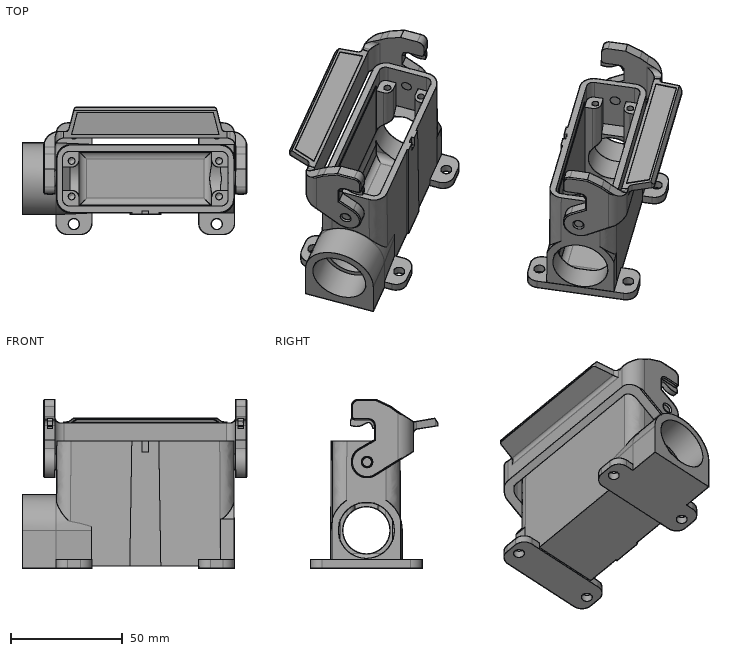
import cadquery as cq
import math


RIM_HALF_X = 39.6
RIM_HALF_Y = 15.1
RIM_CORNER_R = 6.3
RIM_Z = 57.0
SHELL_BOTTOM_Z = 1.0
SHELL_DRAFT = 0.3

ENTRY_OUTER_X = -55.0
ENTRY_STEP_X = -41.0
ENTRY_TAIL_X = -24.0
ENTRY_TAIL_TAPER = 2.6
ARCH_R = 16.1
ARCH_Z = 17.0
THREAD_D = 25.0
PASSAGE_D = 21.0
END_ARCH_INNER_X = 33.6

FOOT_OUTER_X = 40.0
FOOT_LENGTH = 16.2
FOOT_HALF_Y = 25.0
FOOT_THICK = 4.0
FOOT_CORNER_R = 5.2
FOOT_HOLE_D = 4.8
FOOT_HOLE_X = 32.0
FOOT_HOLE_Y = 20.3

RIB_TOP_WIDTH = 12.1
RIB_BOTTOM_WIDTH = 13.9
RIB_TOP_Y = -15.8
RIB_BOTTOM_Y = -16.1
NOTCH_WIDTH = 3.0
NOTCH_DEPTH = 5.0
NOTCH_BACK_Y = -14.5

MOUTH_HALF_X = 37.0
MOUTH_HALF_Y = 12.2
MOUTH_CORNER_R = 3.0
LEDGE_Z = 51.8
WELL_HALF_X = 29.6
WALL_PANEL_HALF_X = 29.0
WALL_PANEL_THICK = 0.4
FLOOR_Z = 3.3
FLOOR_FILLET = 3.4

POST_TOP_Z = 47.9
POST_CORNER_R = 3.4
POST_GAP = 10.4
POST_HOLE_D = 3.0
POST_HOLE_DEPTH = 12.1
POST_HOLE_X = 33.0
POST_HOLE_Y = 7.9
DRILL_POINT_ANGLE = 118.0
SLOT_INNER_X = 33.7
SLOT_SLOPE_Z = 29.1

HINGE_Y = 0.3
HINGE_Z = 47.5
HINGE_BOSS_D = 7.0
PIN_D = 4.6
PIN_DIMPLE_D = 5.1
PIN_DIMPLE_FLOOR_D = 4.0
PIN_DIMPLE_DEPTH = 0.7

ARM_OUTER_X = 45.5
ARM_INNER_X = 40.4
ARM_EYE_R = 7.0
ARM_EDGE_CHAMFER = 0.5
LEVER_TOP_Z = 75.6
NOSE_Y = -6.7
NOSE_R = 3.1
NOSE_LOWER_R = 1.5
JAW_Y = 3.5
JAW_TOP_Z = 66.4
JAW_BOTTOM_Z = 57.5
JAW_R = 2.6
BROW_LOW = (14.1, 70.1)
BROW_HIGH = (11.0, 72.5)
TOP_START_Y = 4.3
BACK_OUTER_Y = 21.1
BACK_INNER_Y = 18.2
BACK_BOTTOM_Z = 52.3
BACK_TOP_Z = 65.5
BACK_OUTER_R = 7.0
BACK_INNER_R = 4.1
BRIDGE_Z = 65.0
BRIDGE_DIP_R = 2.6

TAB_TIP_Y = 32.1
TAB_TIP_HALF_X = 31.7
TAB_ROOT_HALF_X = 34.5
TAB_TIP_R = 1.5
TAB_ROOT_R = 1.8
TAB_ROOT_MARGIN = 2.0
TAB_EDGE_Y = 30.6
TAB_EDGE_Z = 67.1
TAB_TIP_Z = 64.9
TAB_UNDER_TIP_Z = 63.7
TAB_UNDER_ROOT_Z = 62.0
PANEL_NEAR_Y = 19.7
PANEL_FAR_Y = 29.5
PANEL_NEAR_HALF_X = 33.0
PANEL_FAR_HALF_X = 30.5
PANEL_DEPTH = 0.3

CATCH_INNER_X = 41.4
CATCH_WIDTH = 2.4
CATCH_TOP_Z = 67.0
CATCH_TIP_Y = -7.1
CATCH_TIP_DROP = 0.5
CATCH_LIP_Z = 63.9
CATCH_LIP_LOW = (-4.7, 63.4)
CATCH_VALLEY = (-1.9, 63.9)
CATCH_CREST = (0.5, 65.1)
CATCH_HEEL = (2.9, 62.5)


def box(x0, x1, y0, y1, z0, z1):
    """Axis-aligned block between the given limits."""
    return cq.Workplane("XY").box(x1 - x0, y1 - y0, z1 - z0, centered=False).translate((x0, y0, z0))


def x_cylinder(diameter, x0, x1, y, z):
    """Round bar along X."""
    return cq.Workplane("YZ", origin=(x0, y, z)).circle(diameter / 2).extrude(x1 - x0)


def tangent_point(centre, radius, point, side):
    """Where the line from an outside point touches a circle; side +1 or -1 picks the line."""
    dy = point[0] - centre[0]
    dz = point[1] - centre[1]
    angle = math.atan2(dz, dy) + side * math.acos(radius / math.hypot(dy, dz))
    return centre[0] + radius * math.cos(angle), centre[1] + radius * math.sin(angle)




def drafted_block():
    """Sharp-cornered envelope of the shell, widening downwards."""
    height = RIM_Z - SHELL_BOTTOM_Z
    spread = height * math.tan(math.radians(SHELL_DRAFT))
    return (
        cq.Workplane("XY", origin=(0, 0, SHELL_BOTTOM_Z))
        .rect(2 * (RIM_HALF_X + spread), 2 * (RIM_HALF_Y + spread))
        .workplane(offset=height)
        .rect(2 * RIM_HALF_X, 2 * RIM_HALF_Y)
        .loft(ruled=True)
    )


def drafted_shell():
    """Solid outer body with its four upright corners rounded."""
    return drafted_block().edges("not (<Z or >Z)").fillet(RIM_CORNER_R)


def arch(x0, length, bottom_z, taper=0):
    """Round-topped block along X, concentric with the end openings."""
    return (
        cq.Workplane("YZ", origin=(x0, 0, 0))
        .moveTo(-ARCH_R, bottom_z)
        .lineTo(ARCH_R, bottom_z)
        .lineTo(ARCH_R, ARCH_Z)
        .threePointArc((0, ARCH_Z + ARCH_R), (-ARCH_R, ARCH_Z))
        .close()
        .extrude(length, taper=taper)
    )


def cable_entry():
    """Arched entry at the -X end, with a tail that narrows along the housing side."""
    entry = arch(ENTRY_OUTER_X, -FOOT_OUTER_X - ENTRY_OUTER_X, 0)
    tail = arch(-FOOT_OUTER_X, ENTRY_TAIL_X + FOOT_OUTER_X, 0, ENTRY_TAIL_TAPER)
    return entry.union(tail)


def far_end_arch():
    """Arched filling that squares off the lower corners at the +X end, flush with the side walls."""
    filling = arch(END_ARCH_INNER_X, FOOT_OUTER_X - END_ARCH_INNER_X, SHELL_BOTTOM_Z)
    return filling.intersect(drafted_block())


def feet():
    """Cross bars under both ends, each with a screw hole at either side."""
    bars = cq.Workplane("XY")
    for side in (-1, 1):
        bar = (
            cq.Workplane("XY", origin=(side * (FOOT_OUTER_X - FOOT_LENGTH / 2), 0, 0))
            .rect(FOOT_LENGTH, 2 * FOOT_HALF_Y)
            .extrude(FOOT_THICK)
            .edges("|Z")
            .fillet(FOOT_CORNER_R)
        )
        bars = bars.add(bar)
    holes = (
        cq.Workplane("XY")
        .rect(2 * FOOT_HOLE_X, 2 * FOOT_HOLE_Y, forConstruction=True)
        .vertices()
        .circle(FOOT_HOLE_D / 2)
        .extrude(FOOT_THICK)
    )
    return bars.combine().cut(holes)


def front_rib():
    """Shallow rib on the -Y side, wider and prouder at the bottom."""

    def section(width, face_y, z):
        outline = [(-width / 2, 0), (width / 2, 0), (width / 2, face_y), (-width / 2, face_y)]
        return cq.Wire.makePolygon([cq.Vector(x, y, z) for x, y in outline], close=True)

    bottom = section(RIB_BOTTOM_WIDTH, RIB_BOTTOM_Y, SHELL_BOTTOM_Z)
    top = section(RIB_TOP_WIDTH, RIB_TOP_Y, RIM_Z)
    return cq.Workplane(cq.Solid.makeLoft([bottom, top], True))


def cavity():
    """Mouth above the screw posts and central well, less a thin raised panel on each long wall."""
    mouth = (
        cq.Workplane("XY", origin=(0, 0, POST_TOP_Z))
        .rect(2 * MOUTH_HALF_X, 2 * MOUTH_HALF_Y)
        .extrude(RIM_Z - POST_TOP_Z)
        .edges("|Z")
        .fillet(MOUTH_CORNER_R)
    )
    well = box(-WELL_HALF_X, WELL_HALF_X, -MOUTH_HALF_Y, MOUTH_HALF_Y, FLOOR_Z, RIM_Z)
    space = mouth.union(well.edges("<Z").fillet(FLOOR_FILLET))
    for y0, y1 in ((-MOUTH_HALF_Y, WALL_PANEL_THICK - MOUTH_HALF_Y), (MOUTH_HALF_Y - WALL_PANEL_THICK, MOUTH_HALF_Y)):
        space = space.cut(box(-WALL_PANEL_HALF_X, WALL_PANEL_HALF_X, y0, y1, FLOOR_Z, LEDGE_Z))
    return space


def post_slot(side):
    """Slot between the two posts of one end; its outer wall slopes in just above the opening."""
    half_gap = POST_GAP / 2
    slope = MOUTH_HALF_X - SLOT_INNER_X
    slot = (
        cq.Workplane("XZ", origin=(0, half_gap, 0))
        .polyline(
            [
                (0, ARCH_Z),
                (SLOT_INNER_X, ARCH_Z),
                (SLOT_INNER_X, SLOT_SLOPE_Z),
                (MOUTH_HALF_X, SLOT_SLOPE_Z + slope),
                (MOUTH_HALF_X, POST_TOP_Z),
                (0, POST_TOP_Z),
            ]
        )
        .close()
        .extrude(POST_GAP)
    )
    flare_x = WELL_HALF_X + POST_CORNER_R
    flare_y = half_gap + POST_CORNER_R
    flare = box(WELL_HALF_X, flare_x, -flare_y, flare_y, ARCH_Z, POST_TOP_Z)
    for y_side in (-1, 1):
        round_corner = (
            cq.Workplane("XY", origin=(flare_x, y_side * flare_y, ARCH_Z))
            .circle(POST_CORNER_R)
            .extrude(POST_TOP_Z - ARCH_Z)
        )
        flare = flare.cut(round_corner)
    slot = slot.union(flare)
    return slot if side > 0 else slot.mirror("YZ")


def post_holes():
    """Blind drilled holes in the post tops, each ending in a drill point."""
    radius = POST_HOLE_D / 2
    point = radius / math.tan(math.radians(DRILL_POINT_ANGLE / 2))
    holes = cq.Workplane("XY")
    for x in (-POST_HOLE_X, POST_HOLE_X):
        for y in (-POST_HOLE_Y, POST_HOLE_Y):
            hole = (
                cq.Workplane("XZ")
                .polyline([(0, 0), (radius, 0), (radius, -POST_HOLE_DEPTH), (0, -POST_HOLE_DEPTH - point)])
                .close()
                .revolve(360, (0, 0), (0, 1))
                .translate((x, y, POST_TOP_Z))
            )
            holes = holes.add(hole)
    return holes.combine()


def make_housing():
    body = drafted_shell().union(front_rib()).union(cable_entry()).union(far_end_arch()).union(feet())
    for side in (-1, 1):
        body = body.union(x_cylinder(HINGE_BOSS_D, 0, side * ARM_INNER_X, HINGE_Y, HINGE_Z))
    body = body.cut(cavity()).cut(post_slot(-1)).cut(post_slot(1)).cut(post_holes())
    body = body.cut(x_cylinder(THREAD_D, ENTRY_OUTER_X, ENTRY_STEP_X, 0, ARCH_Z))
    body = body.cut(x_cylinder(PASSAGE_D, ENTRY_STEP_X, 0, 0, ARCH_Z))
    body = body.cut(x_cylinder(THREAD_D, 0, FOOT_OUTER_X, 0, ARCH_Z))
    body = body.cut(x_cylinder(PIN_D, -ARM_INNER_X, ARM_INNER_X, HINGE_Y, HINGE_Z))
    notch = box(-NOTCH_WIDTH / 2, NOTCH_WIDTH / 2, RIB_BOTTOM_Y, NOTCH_BACK_Y, RIM_Z - NOTCH_DEPTH, RIM_Z)
    return body.cut(notch)




def hooked_block():
    """Side outline of the arms over the full lever width, with both outer faces chamfered."""
    eye = (HINGE_Y, HINGE_Z)
    jaw_corner = (JAW_Y, JAW_BOTTOM_Z)
    back_corner = (BACK_OUTER_Y, BACK_BOTTOM_Z)
    eye_front = tangent_point(eye, ARM_EYE_R, jaw_corner, 1)
    eye_under = tangent_point(eye, ARM_EYE_R, back_corner, -1)
    eye_nose = (HINGE_Y - ARM_EYE_R * math.cos(math.pi / 4), HINGE_Z - ARM_EYE_R * math.sin(math.pi / 4))
    outline = (
        cq.Workplane("YZ", origin=(-ARM_OUTER_X, 0, 0))
        .moveTo(*jaw_corner)
        .lineTo(*eye_front)
        .threePointArc(eye_nose, eye_under)
        .lineTo(*back_corner)
        .lineTo(BACK_OUTER_Y, BACK_TOP_Z)
        .lineTo(*BROW_LOW)
        .lineTo(*BROW_HIGH)
        .lineTo(TOP_START_Y, LEVER_TOP_Z)
        .lineTo(NOSE_Y + NOSE_R, LEVER_TOP_Z)
        .radiusArc((NOSE_Y, LEVER_TOP_Z - NOSE_R), -NOSE_R)
        .lineTo(NOSE_Y, JAW_TOP_Z + NOSE_LOWER_R)
        .radiusArc((NOSE_Y + NOSE_LOWER_R, JAW_TOP_Z), -NOSE_LOWER_R)
        .lineTo(JAW_Y - JAW_R, JAW_TOP_Z)
        .radiusArc((JAW_Y, JAW_TOP_Z - JAW_R), JAW_R)
        .close()
        .extrude(2 * ARM_OUTER_X)
    )
    return outline.faces("<X or >X").chamfer(ARM_EDGE_CHAMFER)


def u_shaped_plan():
    """Plan outline of the lever: two arms joined by a back with rounded corners."""
    outer = box(-ARM_OUTER_X, ARM_OUTER_X, NOSE_Y, BACK_OUTER_Y, 0, LEVER_TOP_Z)
    outer = outer.edges("|Z and >Y").fillet(BACK_OUTER_R)
    inner = box(-ARM_INNER_X, ARM_INNER_X, NOSE_Y, BACK_INNER_Y, 0, LEVER_TOP_Z)
    inner = inner.edges("|Z and >Y").fillet(BACK_INNER_R)
    return outer.cut(inner)


def bridge_relief():
    """Space above the lever back, which lies lower than the arms and curves up into them."""
    relief = box(-ARM_INNER_X, ARM_INNER_X, 0, TAB_TIP_Y, BRIDGE_Z, LEVER_TOP_Z)
    return relief.edges("|Y and <Z").fillet(BRIDGE_DIP_R)


def handle_tab():
    """Sloping handle that narrows towards its tip, blended into the lever back."""
    side = (
        cq.Workplane("YZ", origin=(-ARM_OUTER_X, 0, 0))
        .polyline(
            [
                (BACK_INNER_Y, BRIDGE_Z),
                (TAB_EDGE_Y, TAB_EDGE_Z),
                (TAB_TIP_Y, TAB_TIP_Z),
                (TAB_TIP_Y, TAB_UNDER_TIP_Z),
                (BACK_OUTER_Y, TAB_UNDER_ROOT_Z),
                (BACK_OUTER_Y, TAB_UNDER_ROOT_Z - TAB_ROOT_MARGIN),
                (BACK_INNER_Y, TAB_UNDER_ROOT_Z - TAB_ROOT_MARGIN),
            ]
        )
        .close()
        .extrude(2 * ARM_OUTER_X)
        .edges(cq.NearestToPointSelector((0, BACK_OUTER_Y, TAB_UNDER_ROOT_Z)))
        .fillet(TAB_ROOT_R)
    )
    foot_half_x = TAB_ROOT_HALF_X + TAB_ROOT_MARGIN
    plan = (
        cq.Workplane("XY")
        .polyline(
            [
                (-foot_half_x, BACK_INNER_Y),
                (foot_half_x, BACK_INNER_Y),
                (foot_half_x, BACK_OUTER_Y),
                (TAB_ROOT_HALF_X, BACK_OUTER_Y),
                (TAB_TIP_HALF_X, TAB_TIP_Y),
                (-TAB_TIP_HALF_X, TAB_TIP_Y),
                (-TAB_ROOT_HALF_X, BACK_OUTER_Y),
                (-foot_half_x, BACK_OUTER_Y),
            ]
        )
        .close()
        .extrude(LEVER_TOP_Z)
        .edges("|Z and >Y")
        .fillet(TAB_TIP_R)
    )
    for x in (-TAB_ROOT_HALF_X, TAB_ROOT_HALF_X):
        root_edge = cq.NearestToPointSelector((x, BACK_OUTER_Y, LEVER_TOP_Z / 2))
        plan = plan.edges(root_edge).fillet(TAB_ROOT_R)
    return side.intersect(plan)


def tab_panel():
    """Shallow panel sunk parallel to the sloping top of the tab."""
    slope = (TAB_EDGE_Z - BRIDGE_Z) / (TAB_EDGE_Y - BACK_INNER_Y)
    near_z = BRIDGE_Z + slope * (PANEL_NEAR_Y - BACK_INNER_Y)
    far_z = BRIDGE_Z + slope * (PANEL_FAR_Y - BACK_INNER_Y)
    panel_side = (
        cq.Workplane("YZ", origin=(-ARM_OUTER_X, 0, 0))
        .polyline(
            [
                (PANEL_NEAR_Y, near_z - PANEL_DEPTH),
                (PANEL_FAR_Y, far_z - PANEL_DEPTH),
                (PANEL_FAR_Y, LEVER_TOP_Z),
                (PANEL_NEAR_Y, LEVER_TOP_Z),
            ]
        )
        .close()
        .extrude(2 * ARM_OUTER_X)
    )
    panel_plan = (
        cq.Workplane("XY")
        .polyline(
            [
                (-PANEL_NEAR_HALF_X, PANEL_NEAR_Y),
                (PANEL_NEAR_HALF_X, PANEL_NEAR_Y),
                (PANEL_FAR_HALF_X, PANEL_FAR_Y),
                (-PANEL_FAR_HALF_X, PANEL_FAR_Y),
            ]
        )
        .close()
        .extrude(LEVER_TOP_Z)
    )
    return panel_side.intersect(panel_plan)


def catch(side):
    """Curved strip that lines the jaw of one arm and peeks out below its nose."""
    strip = (
        cq.Workplane("YZ", origin=(CATCH_INNER_X, 0, 0))
        .moveTo(NOSE_Y, CATCH_TOP_Z)
        .lineTo(CATCH_TIP_Y, JAW_TOP_Z - CATCH_TIP_DROP)
        .lineTo(CATCH_TIP_Y, CATCH_LIP_Z)
        .spline([CATCH_LIP_LOW, CATCH_VALLEY, CATCH_CREST, CATCH_HEEL], includeCurrent=True)
        .lineTo(JAW_Y, CATCH_HEEL[1])
        .lineTo(JAW_Y + CATCH_WIDTH, CATCH_TOP_Z)
        .close()
        .extrude(CATCH_WIDTH)
    )
    return strip if side > 0 else strip.mirror("YZ")


def hinge_pin(side):
    """Pin that fills one hinge hole of the housing, flush with the cavity wall."""
    return x_cylinder(PIN_D, side * MOUTH_HALF_X, side * ARM_OUTER_X, HINGE_Y, HINGE_Z)


def pin_dimple(side):
    """Shallow conical dimple in the outer face of one arm, centred on the hinge."""
    return (
        cq.Workplane("YZ", origin=(side * ARM_OUTER_X, HINGE_Y, HINGE_Z))
        .circle(PIN_DIMPLE_D / 2)
        .workplane(offset=-side * PIN_DIMPLE_DEPTH)
        .circle(PIN_DIMPLE_FLOOR_D / 2)
        .loft()
    )


def make_lever():
    lever = hooked_block().intersect(u_shaped_plan()).cut(bridge_relief())
    lever = lever.union(handle_tab()).cut(tab_panel())
    for side in (-1, 1):
        lever = lever.union(catch(side)).union(hinge_pin(side)).cut(pin_dimple(side))
    return lever


housing = make_housing()
lever = make_lever()
result = cq.Compound.makeCompound([housing.solids().val(), lever.solids().val()])